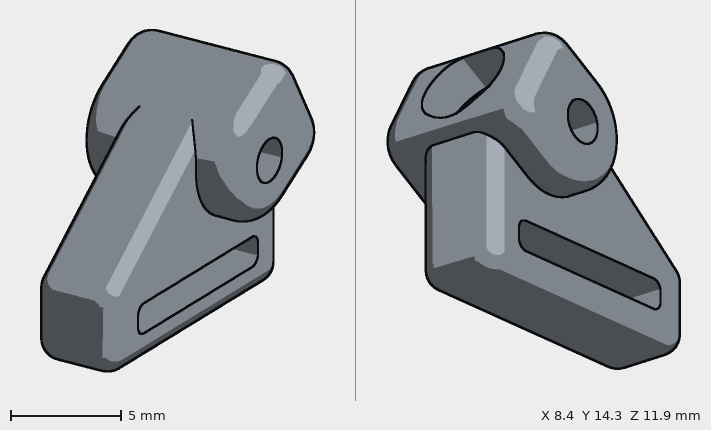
import cadquery as cq
import math

plate_width = 4.4
plate_length = 14.0
front_height = 4.0
back_height = 7.74
edge_radius = 1.0

slot_front = 2.0
slot_length = 10.0
slot_bottom = 1.5
slot_height = 1.49
slot_corner_radius = 0.5

head_width = 8.4
head_radius = 3.05
head_reach = 4.0
head_corner_radius = 1.5
head_tilt = 30.0
pin_y = 9.89
pin_z = 7.85
pin_diameter = 2.1

socket_diameter = 4.5
socket_floor = 2.0


def yz_plane(width):
    """YZ sketch plane at the low-X side of a body centred on X = 0."""
    return cq.Workplane("YZ", origin=(-width / 2, 0, 0))


def make_plate():
    rise = pin_z - front_height
    center_distance = math.hypot(pin_y, rise)
    slope = math.atan2(rise, pin_y) + math.asin(head_radius / center_distance)
    tangent_y = pin_y - head_radius * math.sin(slope)
    tangent_z = pin_z + head_radius * math.cos(slope)
    outline = [
        (0, 0),
        (plate_length, 0),
        (plate_length, back_height),
        (tangent_y, tangent_z),
        (0, front_height),
    ]
    body = yz_plane(plate_width).polyline(outline).close().extrude(plate_width)
    below_head = cq.selectors.BoxSelector(
        (-plate_width, -plate_length, -back_height),
        (plate_width, 2 * plate_length, back_height - edge_radius / 4),
    )
    return body.edges(below_head).fillet(edge_radius)


def make_slot():
    slot = (
        yz_plane(plate_width)
        .center(slot_front + slot_length / 2, slot_bottom + slot_height / 2)
        .rect(slot_length, slot_height)
        .extrude(plate_width)
    )
    return slot.edges("|X").fillet(slot_corner_radius)


def place_on_pin(body):
    """Tilt a body built along +Y and move it from the origin to the pin axis."""
    return body.rotate((0, 0, 0), (1, 0, 0), head_tilt).translate((0, pin_y, pin_z))


def make_head():
    body = (
        yz_plane(head_width)
        .moveTo(0, -head_radius)
        .lineTo(head_reach, -head_radius)
        .lineTo(head_reach, head_radius)
        .lineTo(0, head_radius)
        .threePointArc((-head_radius, 0), (0, -head_radius))
        .close()
        .extrude(head_width)
    )
    body = body.edges("|X and >Y").fillet(head_corner_radius)
    body = body.faces("<X or >X").edges().fillet(edge_radius)
    return place_on_pin(body)


def make_socket():
    socket = (
        cq.Workplane("XZ", origin=(0, socket_floor, 0))
        .circle(socket_diameter / 2)
        .extrude(socket_floor - head_reach)
    )
    return place_on_pin(socket)


def make_pin_hole():
    return yz_plane(head_width).center(pin_y, pin_z).circle(pin_diameter / 2).extrude(head_width)


result = make_plate().union(make_head())
result = result.cut(make_slot()).cut(make_socket()).cut(make_pin_hole())